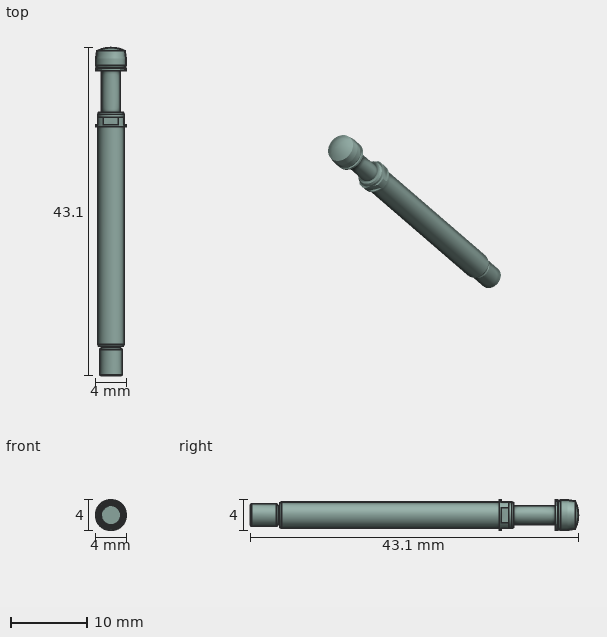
import cadquery as cq

length = 43.1

tail_radius = 1.5
tail_end_radius = 1.3
tail_end_chamfer = 0.15
tail_shoulder = 3.4

neck_radius = 1.25
neck_start = 3.65

barrel_radius = 1.75
barrel_edge_radius = 1.6
barrel_start = 3.85
barrel_end = 34.6
barrel_edge_chamfer = 0.3

collar_radius = 2.0
collar_start = 32.7
collar_end = 33.95
collar_rim = 0.25
flat_distance = 1.74

stem_radius = 1.25

head_radius = 2.0
head_length = 3.05
head_lip = 0.3
head_groove_radius = 1.8
head_groove_width = 0.4
head_groove_floor = 0.1
head_band_width = 0.9
head_front_radius = 1.85
dome_height = 0.45


def revolve_about_y(profile):
    """Close a (radius, y) outline and turn it once around the Y axis."""
    return profile.close().revolve(360, (0, 0, 0), (0, 1, 0))


def make_tail_and_barrel():
    """Chamfered tail pin, neck and barrel in one turned outline."""
    profile = (
        cq.Workplane("XY")
        .moveTo(0, 0)
        .lineTo(tail_end_radius, 0)
        .lineTo(tail_radius, tail_end_chamfer)
        .lineTo(tail_radius, tail_shoulder)
        .lineTo(neck_radius, neck_start)
        .lineTo(neck_radius, barrel_start)
        .lineTo(barrel_edge_radius, barrel_start)
        .lineTo(barrel_radius, barrel_start + barrel_edge_chamfer)
        .lineTo(barrel_radius, barrel_end - barrel_edge_chamfer)
        .lineTo(barrel_edge_radius, barrel_end)
        .lineTo(0, barrel_end)
    )
    return revolve_about_y(profile)


def make_collar():
    """Full round disc standing proud of the barrel."""
    width = collar_end - collar_start
    return cq.Workplane("XZ", origin=(0, collar_end, 0)).circle(collar_radius).extrude(width)


def make_flat_cutter():
    """Square ring that shaves four flats on the collar and leaves a full rim on its tail side."""
    width = collar_end - collar_start - collar_rim
    cutter_side = 4 * collar_radius
    return (
        cq.Workplane("XZ", origin=(0, collar_end, 0))
        .rect(cutter_side, cutter_side)
        .rect(2 * flat_distance, 2 * flat_distance)
        .extrude(width)
    )


def make_plunger():
    """Stem and grooved head, ending in a shallow dome."""
    head_start = length - head_length
    groove_start = head_start + head_lip
    band_start = groove_start + head_groove_width
    band_end = band_start + head_band_width
    dome_base = length - dome_height
    dome_radius = (head_front_radius**2 + dome_height**2) / (2 * dome_height)
    dome_mid_radius = head_front_radius / 2
    dome_mid_y = length - dome_radius + (dome_radius**2 - dome_mid_radius**2) ** 0.5
    profile = (
        cq.Workplane("XY")
        .moveTo(0, barrel_end)
        .lineTo(stem_radius, barrel_end)
        .lineTo(stem_radius, head_start)
        .lineTo(head_radius, head_start)
        .lineTo(head_radius, groove_start)
        .lineTo(head_groove_radius, groove_start)
        .lineTo(head_groove_radius, groove_start + head_groove_floor)
        .lineTo(head_radius, band_start)
        .lineTo(head_radius, band_end)
        .lineTo(head_front_radius, dome_base)
        .threePointArc((dome_mid_radius, dome_mid_y), (0, length))
    )
    return revolve_about_y(profile)


body = make_tail_and_barrel().union(make_collar()).cut(make_flat_cutter())
result = body.union(make_plunger())